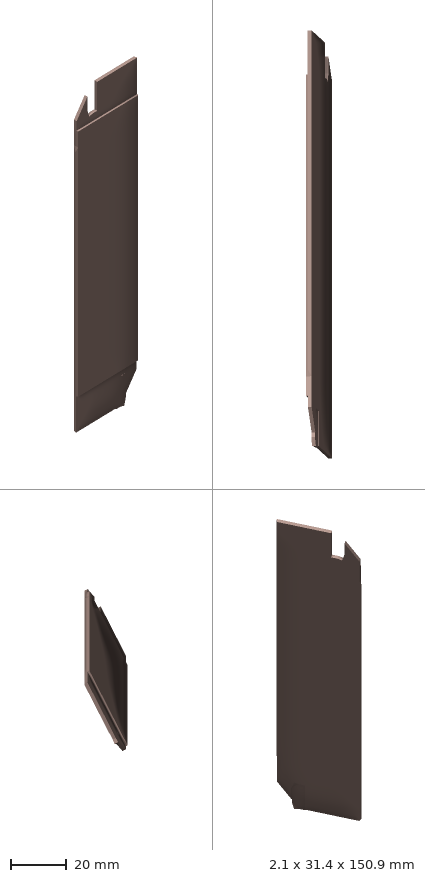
import cadquery as cq

BLADE_HEIGHT = 150.0
BLADE_WIDTH = 31.4
BLADE_THICK = 2.1
END_THICK = 1.4
END_LENGTH = 16.1
EDGE_DEPTH = 0.38
RIDGE_X = 1.2
RELIEF_LENGTH = 23.2
RELIEF_RAMP = 2.3

HALF_HEIGHT = BLADE_HEIGHT / 2
HALF_WIDTH = BLADE_WIDTH / 2
FLANK_Y = HALF_WIDTH - EDGE_DEPTH

INSERT_BACK_Y = 4.8
INSERT_FRONT_Y = 9.8
CORNER_Y = 8.9
INSERT_MIDDLE_Z = -68.8
INSERT_HALF = 6.6
CORNER_HALF = 7.1
FRONT_HALF = 3.9
FLARE_START_Y = 7.2
FLARE = 0.2
INSERT_LEFT_X = FLARE
INSERT_RIGHT_X = END_THICK
JAW_TIP_Z = -71.0
JAW_BASE_Z = -63.1
CUT_MARGIN = 1.5


def prism(points, thickness):
    """Extrude a (Y, Z) outline from x = 0 toward +X."""
    return cq.Workplane("YZ").polyline(points).close().extrude(thickness)


def half_turn(shape):
    return shape.rotate((0, 0, 0), (1, 0, 0), 180)


def blade_bar():
    """Bar with a V ridge along both long edges."""
    section = [
        (0, -FLANK_Y),
        (RIDGE_X, -HALF_WIDTH),
        (BLADE_THICK, -FLANK_Y),
        (BLADE_THICK, FLANK_Y),
        (RIDGE_X, HALF_WIDTH),
        (0, FLANK_Y),
    ]
    bar = cq.Workplane("XY").workplane(offset=-HALF_HEIGHT).polyline(section).close()
    return bar.extrude(BLADE_HEIGHT)


def end_thinning():
    """Material removed from the +X face at the lower end."""
    depth = BLADE_THICK - END_THICK
    block = cq.Workplane("XY").box(depth, BLADE_WIDTH, END_LENGTH, centered=(False, True, False))
    return block.translate((END_THICK, 0, -HALF_HEIGHT))


def ridge_relief():
    """Length of ridge removed beside the lower seat, with a ramped run-out."""
    ramp_start = -HALF_HEIGHT + RELIEF_LENGTH
    return prism(
        [
            (FLANK_Y, -HALF_HEIGHT),
            (HALF_WIDTH, -HALF_HEIGHT),
            (HALF_WIDTH, ramp_start + RELIEF_RAMP),
            (FLANK_Y, ramp_start),
        ],
        BLADE_THICK,
    )


def seat_cut():
    """Insert pocket together with the sloping jaw nose at the lower end."""
    below = -HALF_HEIGHT - CUT_MARGIN
    outside = HALF_WIDTH + CUT_MARGIN
    return prism(
        [
            (INSERT_BACK_Y, below),
            (INSERT_BACK_Y, INSERT_MIDDLE_Z + INSERT_HALF),
            (FLARE_START_Y, INSERT_MIDDLE_Z + INSERT_HALF),
            (CORNER_Y, INSERT_MIDDLE_Z + CORNER_HALF),
            (INSERT_FRONT_Y, INSERT_MIDDLE_Z + FRONT_HALF),
            (INSERT_FRONT_Y, JAW_TIP_Z),
            (FLANK_Y, JAW_BASE_Z),
            (outside, JAW_BASE_Z),
            (outside, below),
        ],
        BLADE_THICK,
    )


def make_blade():
    body = blade_bar()
    for feature in (end_thinning(), ridge_relief(), seat_cut()):
        body = body.cut(feature).cut(half_turn(feature))
    return body


def corner_flare(end, face_x, side):
    """Tetrahedron that widens one cutting corner; end is its Z direction, side its X direction."""
    start = cq.Vector(face_x, FLARE_START_Y, INSERT_MIDDLE_Z + end * INSERT_HALF)
    corner = cq.Vector(face_x, CORNER_Y, INSERT_MIDDLE_Z + end * CORNER_HALF)
    front = cq.Vector(face_x, INSERT_FRONT_Y, INSERT_MIDDLE_Z + end * FRONT_HALF)
    peak = corner + cq.Vector(side * FLARE, 0, 0)
    triangles = [
        (start, corner, front),
        (start, corner, peak),
        (corner, front, peak),
        (front, start, peak),
    ]
    faces = [cq.Face.makeFromWires(cq.Wire.makePolygon(list(t), close=True)) for t in triangles]
    return cq.Workplane(cq.Solid.makeSolid(cq.Shell.makeShell(faces)).fix())


def make_insert():
    """Double-ended cutting insert, mirrored about its middle height."""
    upper = [
        (INSERT_BACK_Y, INSERT_HALF),
        (FLARE_START_Y, INSERT_HALF),
        (CORNER_Y, CORNER_HALF),
        (INSERT_FRONT_Y, FRONT_HALF),
    ]
    lower = [(y, -z) for y, z in reversed(upper)]
    outline = [(y, INSERT_MIDDLE_Z + z) for y, z in upper + lower]
    body = prism(outline, INSERT_RIGHT_X - INSERT_LEFT_X).translate((INSERT_LEFT_X, 0, 0))
    for end in (1, -1):
        for face_x, side in ((INSERT_LEFT_X, -1), (INSERT_RIGHT_X, 1)):
            body = body.union(corner_flare(end, face_x, side))
    return body


blade = make_blade()
insert = make_insert()

result = cq.Compound.makeCompound([blade.val(), insert.val()])